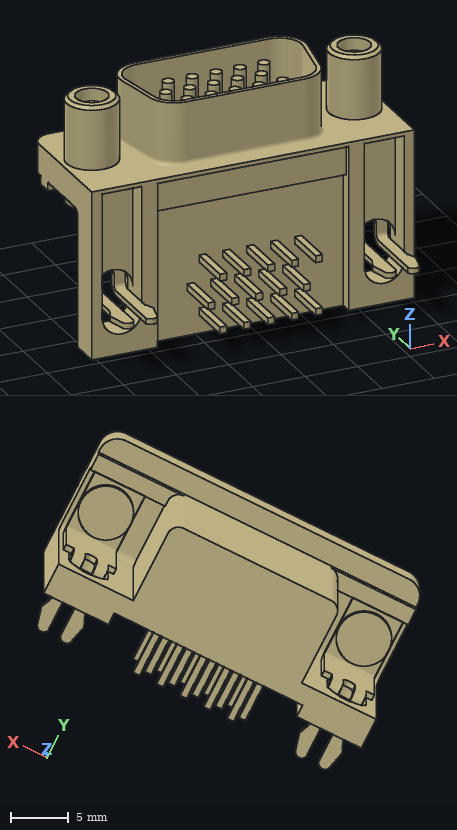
import cadquery as cq
import math


WIDTH = 30.8
FLANGE_TOP = 16.05
FLANGE_DEPTH = 12.57
FLANGE_THICKNESS = 2.9
FLANGE_BOTTOM = FLANGE_TOP - FLANGE_THICKNESS
FLANGE_CORNER = 1.7
WALL_THICKNESS = 2.9
INNER_CORNER = 0.77
CORE_HALF_WIDTH = 8.15
CORE_BACK = 10.6
CORE_CORNER = 1.02
RIM_BOTTOM = 12.35
RIM_DEPTH = 1.55

RECESS_TOP = 15.65
RECESS_WIDTH = 18.25
RECESS_DEPTH = 1.15
UPPER_RECESS_DEPTH = 0.55
UPPER_RECESS_BOTTOM = 12.75
CHANNEL_WIDTH = 3.8
CHANNEL_DEPTH = 1.88
WINDOW_BOTTOM = 1.97
WINDOW_TOP = 7.27

AXIS_Y = 6.25
TOP = 22.1
SHELL_HEIGHT_Y = 9.25
SHELL_MID_HALF_WIDTH = 8.55
SHELL_SLANT = 10.0
SHELL_CORNER = 2.53
SHELL_WALL = 0.43
SHELL_FOOT_RADIUS = 0.5

PITCH = 2.28
CONTACTS_PER_ROW = 5
OUTER_ROW_CENTER = 0.25
ROW_CENTERS = (OUTER_ROW_CENTER, OUTER_ROW_CENTER - PITCH / 2, OUTER_ROW_CENTER)
CONTACT_ROW_PITCH = 1.97
CONTACT_RADIUS = 0.52
CONTACT_TOP = 21.07
TAIL_ROW_PITCH = 2.53
TAIL_MIDDLE_Z = 4.62
TAIL_SIZE = 0.65
TAIL_LENGTH = 3.2

POST_X = 12.5
POST_RADIUS = 2.4
POST_CHAMFER = 0.3
POST_BORE_RADIUS = 1.48
POST_BORE_DEPTH = 1.2
NUT_HEIGHT = 0.5

SHEET = 0.52
BRACKET_WIDTH = 4.87
BRACKET_BACK = CORE_BACK - RIM_DEPTH
BRACKET_STEP_Z = 6.38
LOCK_BOTTOM = 4.38
LOCK_BEND = 0.5
LOCK_HALF_WIDTH = 1.65
LOCK_GAP = 1.15
LOCK_GAP_TOP = 6.9
BARB_START_Y = -1.1
BARB_PEAK_Y = -2.05
BARB_HALF_WIDTH = 2.05
TIP_START_Y = -3.5
TIP_START_HALF_WIDTH = 1.7
TIP_HALF_WIDTH = 1.02
TIP_Y = -4.07
TIP_INNER_Y = -3.67


def box(x0, x1, y0, y1, z0, z1):
    """Box given by its limits along each axis."""
    return cq.Workplane("XY").box(x1 - x0, y1 - y0, z1 - z0, centered=False).translate((x0, y0, z0))


def centered_box(width, y0, y1, z0, z1, center_x=0.0):
    """Box of a given width about center_x."""
    return box(center_x - width / 2, center_x + width / 2, y0, y1, z0, z1)


def side_prism(outline, width, center_x):
    """Extrude a YZ outline along X, symmetric about center_x."""
    return outline.extrude(width / 2, both=True).translate((center_x, 0, 0))


def make_housing():
    flange = centered_box(WIDTH, 0, FLANGE_DEPTH, FLANGE_BOTTOM, FLANGE_TOP)
    flange = flange.edges("|Z and >Y").fillet(FLANGE_CORNER)
    wall = centered_box(WIDTH, 0, WALL_THICKNESS, 0, FLANGE_TOP)
    housing = flange.union(wall)
    inner_edge = cq.selectors.NearestToPointSelector((0, WALL_THICKNESS, FLANGE_BOTTOM))
    housing = housing.edges(inner_edge).fillet(INNER_CORNER)
    core = centered_box(2 * CORE_HALF_WIDTH, 0, CORE_BACK, 0, FLANGE_TOP)
    core = core.edges("|Z and >Y").fillet(CORE_CORNER)
    rim = centered_box(WIDTH, CORE_BACK - RIM_DEPTH, CORE_BACK, RIM_BOTTOM, FLANGE_TOP)
    return housing.union(core).union(rim)


def make_face_recess():
    lower = centered_box(RECESS_WIDTH, 0, RECESS_DEPTH, 0, UPPER_RECESS_BOTTOM)
    upper = centered_box(RECESS_WIDTH, 0, UPPER_RECESS_DEPTH, UPPER_RECESS_BOTTOM, RECESS_TOP)
    return lower.union(upper)


def make_channel(center_x):
    """Blind channel with a round lower end, and an obround window through its floor."""
    window_mid = (WINDOW_BOTTOM + WINDOW_TOP) / 2
    window = (
        cq.Workplane("XZ")
        .center(center_x, window_mid)
        .slot2D(WINDOW_TOP - WINDOW_BOTTOM, CHANNEL_WIDTH, 90)
        .extrude(-WALL_THICKNESS)
    )
    channel = centered_box(CHANNEL_WIDTH, 0, CHANNEL_DEPTH, window_mid, RECESS_TOP, center_x)
    return channel.union(window)


def d_prism(inset, z0, z1):
    """D-shaped prism whose sides lie a given distance inside the shell's outer face."""
    slant = math.radians(SHELL_SLANT)
    half_height = SHELL_HEIGHT_Y / 2 - inset
    mid_half_width = SHELL_MID_HALF_WIDTH - inset / math.cos(slant)
    spread = half_height * math.tan(slant)
    wide = mid_half_width + spread
    narrow = mid_half_width - spread
    front_corners = [(-narrow, -half_height), (narrow, -half_height)]
    back_corners = [(wide, half_height), (-wide, half_height)]
    return (
        cq.Workplane("XY", origin=(0, AXIS_Y, z0))
        .polyline(front_corners + back_corners)
        .close()
        .extrude(z1 - z0)
        .edges("|Z")
        .fillet(SHELL_CORNER - inset)
    )


def add_shell(body):
    """Thin D-shaped shell whose foot flares into the flange."""
    body = body.union(d_prism(0, FLANGE_TOP, TOP))
    margin = SHELL_WALL / 2
    foot = cq.selectors.BoxSelector(
        (-POST_X + POST_RADIUS, margin, FLANGE_TOP - margin),
        (POST_X - POST_RADIUS, FLANGE_DEPTH - margin, FLANGE_TOP + margin),
        boundingbox=True,
    )
    body = body.edges(foot).fillet(SHELL_FOOT_RADIUS)
    return body.cut(d_prism(SHELL_WALL, FLANGE_TOP, TOP))


def row_positions(row):
    """X positions of the contacts in one row."""
    middle = (CONTACTS_PER_ROW - 1) / 2
    return [ROW_CENTERS[row] + (i - middle) * PITCH for i in range(CONTACTS_PER_ROW)]


def add_contacts(body):
    """Round pins inside the shell and square tails on the board side."""
    for row in range(len(ROW_CENTERS)):
        pin_y = AXIS_Y + (1 - row) * CONTACT_ROW_PITCH
        tail_z = TAIL_MIDDLE_Z + (1 - row) * TAIL_ROW_PITCH
        for x in row_positions(row):
            pin = (
                cq.Workplane("XY", origin=(x, pin_y, FLANGE_TOP))
                .circle(CONTACT_RADIUS)
                .extrude(CONTACT_TOP - FLANGE_TOP)
            )
            tail = centered_box(
                TAIL_SIZE, -TAIL_LENGTH, RECESS_DEPTH, tail_z - TAIL_SIZE / 2, tail_z + TAIL_SIZE / 2, x
            )
            body = body.union(pin).union(tail)
    return body


def make_post(center_x):
    post = (
        cq.Workplane("XY", origin=(center_x, AXIS_Y, FLANGE_TOP))
        .circle(POST_RADIUS)
        .extrude(TOP - FLANGE_TOP)
        .faces(">Z")
        .chamfer(POST_CHAMFER)
    )
    bore = (
        cq.Workplane("XY", origin=(center_x, AXIS_Y, TOP - POST_BORE_DEPTH))
        .circle(POST_BORE_RADIUS)
        .extrude(POST_BORE_DEPTH)
    )
    nut_bottom = FLANGE_BOTTOM - SHEET - NUT_HEIGHT
    nut = (
        cq.Workplane("XY", origin=(center_x, AXIS_Y, nut_bottom))
        .circle(POST_RADIUS)
        .extrude(FLANGE_BOTTOM - nut_bottom)
    )
    return post.cut(bore).union(nut)


def make_lock_outline(center_x):
    """Plan of the fork, with a barbed outer side and a round tip on each prong."""
    gap = LOCK_GAP / 2
    fork = cq.Workplane("XY")
    for side in (-1, 1):
        prong = (
            cq.Workplane("XY")
            .moveTo(side * gap, WALL_THICKNESS + SHEET)
            .lineTo(side * LOCK_HALF_WIDTH, WALL_THICKNESS + SHEET)
            .lineTo(side * LOCK_HALF_WIDTH, BARB_START_Y)
            .lineTo(side * BARB_HALF_WIDTH, BARB_PEAK_Y)
            .lineTo(side * TIP_START_HALF_WIDTH, TIP_START_Y)
            .threePointArc((side * TIP_HALF_WIDTH, TIP_Y), (side * gap, TIP_INNER_Y))
            .close()
            .extrude(BRACKET_STEP_Z)
        )
        fork = fork.add(prong)
    return fork.combine().translate((center_x, 0, 0))


def make_bracket(center_x):
    """Sheet lying under the flange, running down the wall and bending out into the lock."""
    outer = WALL_THICKNESS + SHEET
    angle = (
        cq.Workplane("YZ")
        .moveTo(BRACKET_BACK, FLANGE_BOTTOM)
        .lineTo(WALL_THICKNESS + INNER_CORNER, FLANGE_BOTTOM)
        .radiusArc((WALL_THICKNESS, FLANGE_BOTTOM - INNER_CORNER), -INNER_CORNER)
        .lineTo(WALL_THICKNESS, BRACKET_STEP_Z)
        .lineTo(outer, BRACKET_STEP_Z)
        .lineTo(outer, FLANGE_BOTTOM - INNER_CORNER)
        .radiusArc((WALL_THICKNESS + INNER_CORNER, FLANGE_BOTTOM - SHEET), INNER_CORNER - SHEET)
        .lineTo(BRACKET_BACK, FLANGE_BOTTOM - SHEET)
        .close()
    )
    bend_z = LOCK_BOTTOM + SHEET + LOCK_BEND
    bend_y = WALL_THICKNESS - LOCK_BEND
    lock = (
        cq.Workplane("YZ")
        .moveTo(outer, BRACKET_STEP_Z)
        .lineTo(outer, bend_z)
        .radiusArc((bend_y, LOCK_BOTTOM), LOCK_BEND + SHEET)
        .lineTo(TIP_Y, LOCK_BOTTOM)
        .lineTo(TIP_Y, LOCK_BOTTOM + SHEET)
        .lineTo(bend_y, LOCK_BOTTOM + SHEET)
        .radiusArc((WALL_THICKNESS, bend_z), -LOCK_BEND)
        .lineTo(WALL_THICKNESS, BRACKET_STEP_Z)
        .close()
    )
    lock = side_prism(lock, 2 * BARB_HALF_WIDTH, center_x).intersect(make_lock_outline(center_x))
    gap_center = LOCK_GAP_TOP - LOCK_GAP / 2
    gap_end = (
        cq.Workplane("XZ", origin=(center_x, WALL_THICKNESS, gap_center))
        .circle(LOCK_GAP / 2)
        .extrude(-SHEET)
    )
    return side_prism(angle, BRACKET_WIDTH, center_x).union(lock).cut(gap_end)


result = add_shell(make_housing()).cut(make_face_recess())
for x in (-POST_X, POST_X):
    result = result.cut(make_channel(x)).union(make_post(x)).union(make_bracket(x))
result = add_contacts(result)